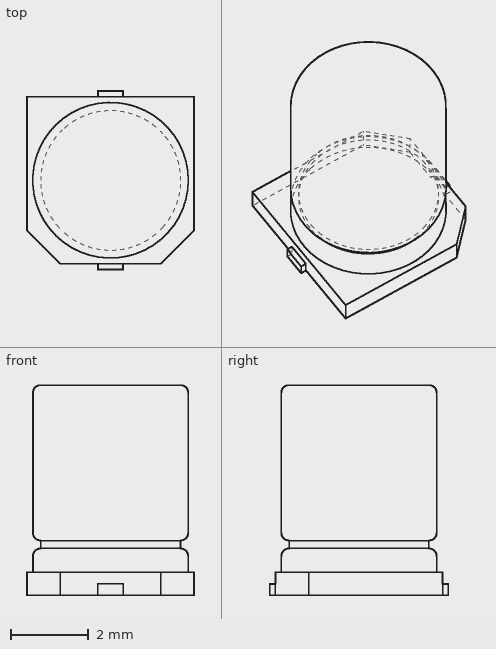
import cadquery as cq

base_size = 4.3
base_height = 0.6
corner_cut = 0.86

terminal_width = 0.65
terminal_height = 0.3
terminal_overhang = 0.15

can_radius = 2.0
can_top = 5.41
edge_radius = 0.2
groove_radius = can_radius - edge_radius
groove_bottom = 1.21
groove_top = 1.41


def make_base():
    """Square plate with its two -Y corners cut off."""
    plate = cq.Workplane("XY").rect(base_size, base_size).extrude(base_height)
    return plate.edges("|Z and <Y").chamfer(corner_cut)


def make_terminals():
    """One strip under the can, showing as a tab at both ends."""
    length = base_size + 2 * terminal_overhang
    return cq.Workplane("XY").rect(terminal_width, length).extrude(terminal_height)


def cylinder(radius, bottom, top):
    """Upright cylinder on the Z axis between two heights."""
    return cq.Workplane("XY").workplane(offset=bottom).circle(radius).extrude(top - bottom)


def make_can():
    """Lower ring, groove neck and upper body, with rounded edges."""
    lower_ring = cylinder(can_radius, base_height, groove_bottom).faces(">Z").edges().fillet(edge_radius)
    neck = cylinder(groove_radius, base_height, can_top - edge_radius)
    body = cylinder(can_radius, groove_top, can_top).edges("%CIRCLE").fillet(edge_radius)
    return neck.union(lower_ring).union(body)


result = make_base().union(make_terminals()).union(make_can())